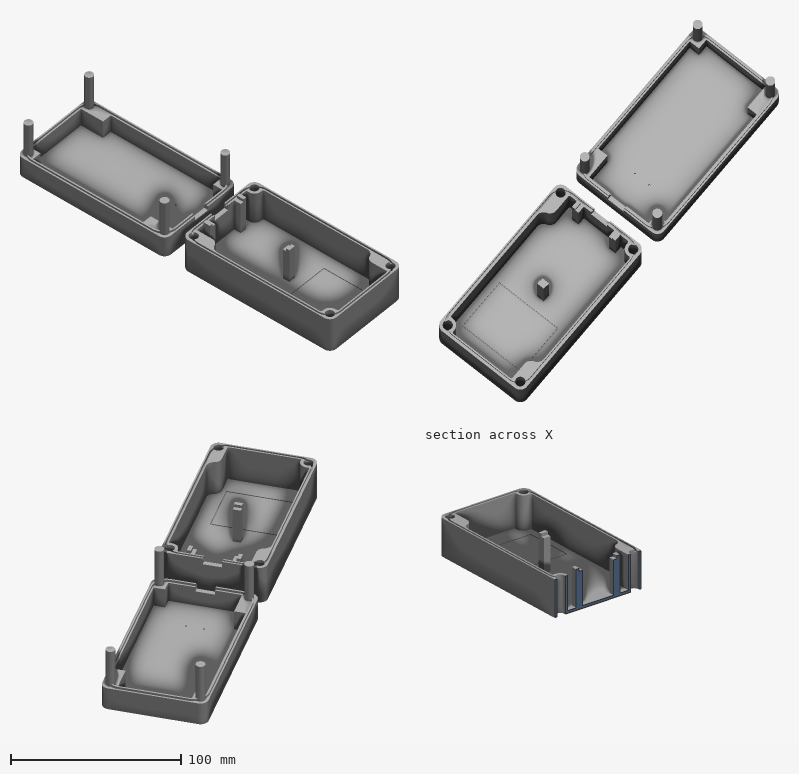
import cadquery as cq
import math

LENGTH = 115.0
WIDTH = 65.0
CORNER_RADIUS = 5.0
WALL = 3.0
FLOOR = 2.0
GAP = 12.5

TRAY_HEIGHT = 15.0
BASE_HEIGHT = 25.0
TOTAL_HEIGHT = TRAY_HEIGHT + BASE_HEIGHT

CORNER_INSET = 5.0
BLOCK_SIZE = 2 * CORNER_INSET
LONG_BLOCK = 20.0
PIN_DIAMETER = 5.8
HOLE_DIAMETER = 6.0
BASE_BLOCK_RADIUS = 5.0
BLOCK_FILLET = 1.0

LIP_INSET = 1.0
LIP_THICKNESS = 1.0
LIP_HEIGHT = 1.5
LIP_RADIUS = 10.0
GROOVE_CLEARANCE = 0.1

SLOT_WIDTH = 12.0
TRAY_SLOT_DEPTH = 3.0
BASE_SLOT_DEPTH = 4.0

LIGHT_HOLE_SIZE = 1.0
LIGHT_HOLE_X = 90.5
LIGHT_HOLE_OFFSET = 5.5

BOARD_LENGTH = 52.0
BOARD_WIDTH = 28.0
POST_SIZE = 5.0
POST_TOP = 27.0
POST_SEAT = 25.0

FRAME_LENGTH = 35.0
FRAME_WIDTH = 45.0
FRAME_LINE = 0.8
FRAME_DEPTH = 0.5
FRAME_X = 82.5
FRAME_Y = 30.0


def box(x0, x1, y0, y1, z0, z1):
    """Box between two opposite corners."""
    return cq.Workplane("XY").box(x1 - x0, y1 - y0, z1 - z0, centered=False).translate((x0, y0, z0))


def rounded_plate(inset, radius, z0, z1):
    """Rounded plate with the case footprint, drawn in by an inset."""
    plate = box(inset, LENGTH - inset, inset, WIDTH - inset, z0, z1)
    return plate.edges("|Z").fillet(radius)


def lip_ring(z0, z1, clearance=0.0):
    """Ring that follows the walls and swings inward at the corners."""
    outer_inset = LIP_INSET - clearance
    inner_inset = LIP_INSET + LIP_THICKNESS + clearance
    corner = LIP_INSET + LIP_RADIUS
    outer = rounded_plate(outer_inset, corner - outer_inset, z0, z1)
    return outer.cut(rounded_plate(inner_inset, corner - inner_inset, z0, z1))


def corner_cylinders(diameter, z0, z1):
    """Four upright cylinders at the corner fastener positions."""
    return (
        cq.Workplane("XY", origin=(LENGTH / 2, WIDTH / 2, z0))
        .rect(LENGTH - 2 * CORNER_INSET, WIDTH - 2 * CORNER_INSET, forConstruction=True)
        .vertices()
        .circle(diameter / 2)
        .extrude(z1 - z0)
    )


def turned(block):
    """The same block turned half a turn about the middle of the case."""
    return block.rotate((LENGTH / 2, WIDTH / 2, 0), (LENGTH / 2, WIDTH / 2, 1), 180)


def shell(height, blocks):
    """Open box with blocks left standing in its corners."""
    cavity = box(WALL, LENGTH - WALL, WALL, WIDTH - WALL, FLOOR, height)
    for block in blocks:
        cavity = cavity.cut(block).cut(turned(block))
    return rounded_plate(0, CORNER_RADIUS, 0, height).cut(cavity)


def make_tray():
    """Lower half with the lip, the four pins, the slot and the light holes."""
    short_block = box(0, BLOCK_SIZE, 0, BLOCK_SIZE, 0, TRAY_HEIGHT)
    long_block = box(0, LONG_BLOCK, WIDTH - BLOCK_SIZE, WIDTH, 0, TRAY_HEIGHT)
    tray = shell(TRAY_HEIGHT, [short_block, long_block])

    lip_top = TRAY_HEIGHT + LIP_HEIGHT
    tray = tray.union(lip_ring(TRAY_HEIGHT, lip_top))
    tray = tray.union(corner_cylinders(PIN_DIAMETER, FLOOR, TOTAL_HEIGHT))

    slot_y = (WIDTH - SLOT_WIDTH) / 2
    slot_bottom = TRAY_HEIGHT - TRAY_SLOT_DEPTH
    tray = tray.cut(box(LENGTH - WALL, LENGTH, slot_y, slot_y + SLOT_WIDTH, slot_bottom, lip_top))

    light_holes = (
        cq.Workplane("XY")
        .pushPoints([(LIGHT_HOLE_X, WIDTH / 2 + side * LIGHT_HOLE_OFFSET) for side in (-1, 1)])
        .rect(LIGHT_HOLE_SIZE, LIGHT_HOLE_SIZE)
        .extrude(FLOOR)
    )
    return tray.cut(light_holes)


def short_base_block():
    """Corner block with a round free corner and fillets into both walls."""
    near = WALL + BLOCK_FILLET
    far = BLOCK_SIZE + BLOCK_FILLET
    bend = BLOCK_SIZE - BASE_BLOCK_RADIUS
    return (
        cq.Workplane("XY")
        .lineTo(far, 0)
        .lineTo(far, WALL)
        .radiusArc((BLOCK_SIZE, near), BLOCK_FILLET)
        .lineTo(BLOCK_SIZE, bend)
        .radiusArc((bend, BLOCK_SIZE), -BASE_BLOCK_RADIUS)
        .lineTo(near, BLOCK_SIZE)
        .radiusArc((WALL, far), BLOCK_FILLET)
        .lineTo(0, far)
        .close()
        .extrude(BASE_HEIGHT)
        .mirror("XZ")
        .translate((0, WIDTH, 0))
    )


def long_base_block():
    """Corner block that runs out into the long wall in an S-shaped wave."""
    near = WALL + BLOCK_FILLET
    radius = BASE_BLOCK_RADIUS
    round_x = LONG_BLOCK - radius
    round_y = BLOCK_SIZE - radius
    hollow_y = WALL + radius
    hollow_x = round_x + math.sqrt((2 * radius) ** 2 - (hollow_y - round_y) ** 2)
    touch_point = ((round_x + hollow_x) / 2, (round_y + hollow_y) / 2)
    return (
        cq.Workplane("XY")
        .lineTo(hollow_x, 0)
        .lineTo(hollow_x, WALL)
        .radiusArc(touch_point, radius)
        .radiusArc((round_x, BLOCK_SIZE), -radius)
        .lineTo(near, BLOCK_SIZE)
        .radiusArc((WALL, BLOCK_SIZE + BLOCK_FILLET), BLOCK_FILLET)
        .lineTo(0, BLOCK_SIZE + BLOCK_FILLET)
        .close()
        .extrude(BASE_HEIGHT)
    )


def board_posts():
    """Three posts, each with a seat under the board and a stop beside it."""
    half = POST_SIZE / 2
    centre_y = WIDTH / 2
    board_end = WALL + BOARD_LENGTH
    end_post = box(board_end - half, board_end + half, centre_y - half, centre_y + half, 0, POST_SEAT)
    end_stop = box(board_end, board_end + half, centre_y - half, centre_y + half, POST_SEAT, POST_TOP)
    posts = end_post.union(end_stop)
    for side in (-1, 1):
        board_edge = centre_y + side * BOARD_WIDTH / 2
        outer_edge = board_edge + side * half
        stop_y = sorted((board_edge, outer_edge))
        seat = box(WALL, WALL + POST_SIZE, board_edge - half, board_edge + half, 0, POST_SEAT)
        stop = box(WALL, WALL + POST_SIZE, *stop_y, POST_SEAT, POST_TOP)
        posts = posts.union(seat).union(stop)
    return posts


def floor_frame():
    """Rectangular ring cut into the base floor."""
    frame = cq.Workplane("XY", origin=(FRAME_X, FRAME_Y, FLOOR - FRAME_DEPTH))
    outer = frame.rect(FRAME_LENGTH, FRAME_WIDTH).extrude(FRAME_DEPTH)
    inner = frame.rect(FRAME_LENGTH - 2 * FRAME_LINE, FRAME_WIDTH - 2 * FRAME_LINE).extrude(FRAME_DEPTH)
    return outer.cut(inner)


def make_base():
    """Deeper half with the groove, the pin holes, the board posts and the slot."""
    base = shell(BASE_HEIGHT, [short_base_block(), long_base_block()])
    base = base.cut(lip_ring(BASE_HEIGHT - LIP_HEIGHT, BASE_HEIGHT, GROOVE_CLEARANCE))
    base = base.cut(corner_cylinders(HOLE_DIAMETER, 0, BASE_HEIGHT))
    base = base.union(board_posts())
    base = base.cut(floor_frame())

    slot_y = (WIDTH - SLOT_WIDTH) / 2
    slot_bottom = BASE_HEIGHT - BASE_SLOT_DEPTH
    return base.cut(box(0, WALL, slot_y, slot_y + SLOT_WIDTH, slot_bottom, BASE_HEIGHT))


tray = make_tray()
base = make_base().translate((LENGTH + GAP, 0, 0))

result = cq.Compound.makeCompound([tray.val(), base.val()])